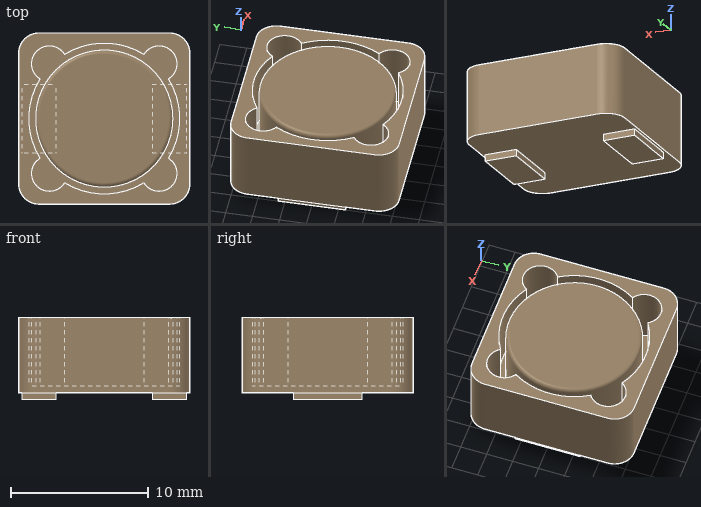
import cadquery as cq

side = 12.5
total_height = 6.0
pad_height = 0.5
body_height = total_height - pad_height
corner_radius = 1.5

cavity_diameter = 11.0
lobe_diameter = 2.6
lobe_offset = 4.0
floor_thickness = 0.5
cavity_depth = body_height - floor_thickness

core_diameter = 10.0
core_edge_radius = 0.3

pad_length = 2.5
pad_width = 5.0
pad_inset = 0.25


def make_body():
    """Square block with rounded vertical edges, standing on the pads."""
    block = cq.Workplane("XY").workplane(offset=pad_height).rect(side, side).extrude(body_height)
    return block.edges("|Z").fillet(corner_radius)


def make_cavity():
    """Blind cavity open at the top: a disc joined to four corner lobes."""
    base = cq.Workplane("XY").workplane(offset=total_height - cavity_depth)
    disc = base.circle(cavity_diameter / 2).extrude(cavity_depth)
    lobe_spacing = 2 * lobe_offset
    lobes = (
        base.rect(lobe_spacing, lobe_spacing, forConstruction=True)
        .vertices()
        .circle(lobe_diameter / 2)
        .extrude(cavity_depth)
    )
    return disc.union(lobes)


def make_core():
    """Cylinder flush with the body top, with a rounded top edge."""
    core = (
        cq.Workplane("XY")
        .workplane(offset=pad_height)
        .circle(core_diameter / 2)
        .extrude(body_height)
    )
    return core.faces(">Z").edges().fillet(core_edge_radius)


def make_pads():
    """Two terminal pads, one near each X side."""
    pad_offset = side / 2 - pad_inset - pad_length / 2
    return (
        cq.Workplane("XY")
        .pushPoints([(-pad_offset, 0), (pad_offset, 0)])
        .rect(pad_length, pad_width)
        .extrude(pad_height)
    )


result = make_body().cut(make_cavity()).union(make_core()).union(make_pads())